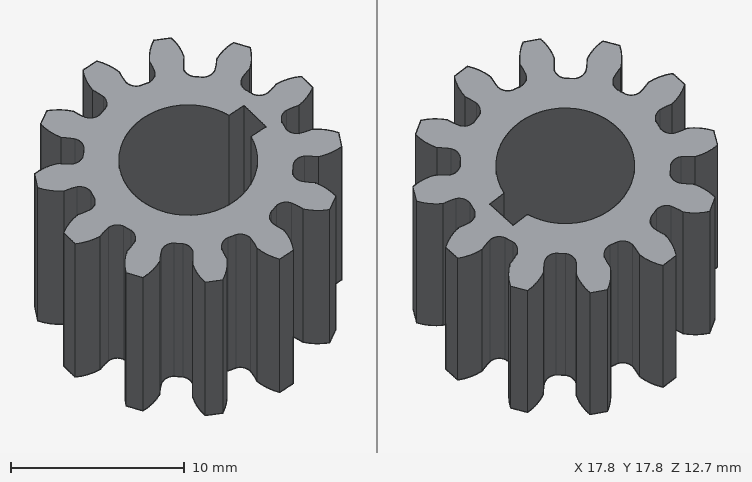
import cadquery as cq
import math

tooth_count = 12
outer_diameter = 17.78
face_width = 12.7
bore_diameter = 8.0
keyway_width = 2.0
keyway_top = 5.0
root_radius = 6.06

tip_radius = outer_diameter / 2
tooth_pitch = 360 / tooth_count
root_end_angle = 12.5
gap_angle = tooth_pitch / 2

tip_corner = (0.52, tip_radius)
upper_flank_middle = (0.84, 8.23)
widest_point = (1.01, 7.43)
lower_flank_middle = (0.9, 7.04)
neck = (0.84, 6.65)
fillet_middle = (0.96, 6.2)


def point_at(radius, angle):
    """Point at a clockwise angle in degrees from +Y."""
    radians = math.radians(angle)
    return (radius * math.sin(radians), radius * math.cos(radians))


def turned(point, angle):
    """Turn a point clockwise about the axis by an angle in degrees."""
    x, y = point
    sine = math.sin(math.radians(angle))
    cosine = math.cos(math.radians(angle))
    return (x * cosine + y * sine, y * cosine - x * sine)


def mirrored(point):
    """Reflect a point across the tooth centreline."""
    return (-point[0], point[1])


def add_tooth(outline, angle):
    """Draw a tooth clockwise, from its left tip corner to the next tooth's."""
    root_end = point_at(root_radius, root_end_angle)
    root_middle = point_at(root_radius, gap_angle)
    next_angle = angle + tooth_pitch
    outline = outline.lineTo(*turned(tip_corner, angle))
    falling_arcs = [
        (upper_flank_middle, widest_point),
        (lower_flank_middle, neck),
        (fillet_middle, root_end),
    ]
    for middle, end in falling_arcs:
        outline = outline.threePointArc(turned(middle, angle), turned(end, angle))
    next_root_end = turned(mirrored(root_end), next_angle)
    outline = outline.threePointArc(turned(root_middle, angle), next_root_end)
    rising_arcs = [
        (fillet_middle, neck),
        (lower_flank_middle, widest_point),
        (upper_flank_middle, tip_corner),
    ]
    for middle, end in rising_arcs:
        outline = outline.threePointArc(
            turned(mirrored(middle), next_angle), turned(mirrored(end), next_angle)
        )
    return outline


def gear_blank():
    """Toothed body without the bore."""
    outline = cq.Workplane("XY").moveTo(*mirrored(tip_corner))
    for index in range(tooth_count):
        outline = add_tooth(outline, index * tooth_pitch)
    return outline.close().extrude(face_width)


def keyed_bore():
    """Through bore with a rectangular keyway on +Y."""
    bore = cq.Workplane("XY").circle(bore_diameter / 2).extrude(face_width)
    keyway = (
        cq.Workplane("XY")
        .center(0, keyway_top / 2)
        .rect(keyway_width, keyway_top)
        .extrude(face_width)
    )
    return bore.union(keyway)


result = gear_blank().cut(keyed_bore())